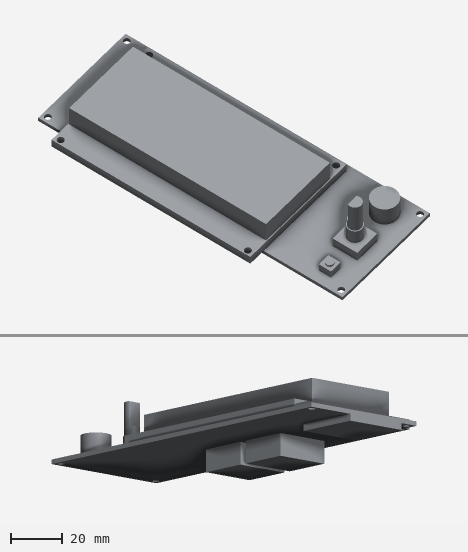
import cadquery as cq


board_length = 150.0
board_width = 55.0
board_thickness = 1.8
board_hole_diameter = 3.0
board_hole_inset = 2.7

frame_left = 13.2
frame_rear = 3.0
frame_length = 98.0
frame_width = 60.5
frame_height = 3.9
frame_hole_diameter = 3.2
frame_hole_side_inset = 2.9
frame_hole_rear_inset = 2.7
frame_hole_front_inset = 2.1
screen_length = 97.1
screen_width = 40.2
screen_height = 9.6
screen_left = frame_left + (frame_length - screen_length) / 2
screen_rear = 12.8

buzzer_x = board_length - 14.0
buzzer_depth = 10.7
buzzer_diameter = 12.2
buzzer_height = 8.9

encoder_x = board_length - 13.2
encoder_depth = 30.3
encoder_base_length = 12.2
encoder_base_width = 12.6
encoder_base_height = 4.5
collar_diameter = 7.0
collar_top = 11.3
shaft_diameter = 6.2
shaft_top = 24.8
flat_bottom = 14.9
flat_offset = 1.4

button_x = board_length - 12.8
button_depth = 46.8
button_side = 6.0
button_height = 3.6
button_cap_diameter = 3.6
button_cap_top = 4.5

card_rear = 20.4
card_length = 27.0
card_width = 26.7
card_height = 2.7
socket_count = 2
first_socket_left = 45.8
socket_pitch = 23.1
socket_rear = 25.4
socket_length = 20.0
socket_width = 23.0
socket_height = 9.0


def block(left, rear, bottom, length, width, height):
    """Box placed by its left side, rear depth and bottom."""
    box = cq.Workplane("XY").box(length, width, height, centered=False)
    return box.translate((left, -rear - width, bottom))


def centered_block(x, depth, length, width, height):
    """Box standing on the board, centred at x and depth."""
    return block(x - length / 2, depth - width / 2, 0, length, width, height)


def cylinder(x, depth, diameter, top, bottom=0):
    """Vertical cylinder between two heights."""
    plane = cq.Workplane("XY", origin=(x, -depth, bottom))
    return plane.circle(diameter / 2).extrude(top - bottom)


def make_board():
    board = block(0, 0, -board_thickness, board_length, board_width, board_thickness)
    for x in (board_hole_inset, board_length - board_hole_inset):
        for depth in (board_hole_inset, board_width - board_hole_inset):
            board = board.cut(cylinder(x, depth, board_hole_diameter, 0, -board_thickness))
    return board


def make_display():
    frame = block(frame_left, frame_rear, 0, frame_length, frame_width, frame_height)
    hole_depths = (
        frame_rear + frame_hole_rear_inset,
        frame_rear + frame_width - frame_hole_front_inset,
    )
    for x in (frame_left + frame_hole_side_inset, frame_left + frame_length - frame_hole_side_inset):
        for depth in hole_depths:
            frame = frame.cut(cylinder(x, depth, frame_hole_diameter, frame_height))
    screen = block(screen_left, screen_rear, frame_height, screen_length, screen_width, screen_height)
    return frame.union(screen)


def make_encoder():
    base = centered_block(
        encoder_x, encoder_depth, encoder_base_length, encoder_base_width, encoder_base_height
    )
    collar = cylinder(encoder_x, encoder_depth, collar_diameter, collar_top)
    shaft = cylinder(encoder_x, encoder_depth, shaft_diameter, shaft_top)
    flat_cut = block(
        encoder_x - flat_offset - shaft_diameter,
        encoder_depth - shaft_diameter / 2,
        flat_bottom,
        shaft_diameter,
        shaft_diameter,
        shaft_top - flat_bottom,
    )
    return base.union(collar).union(shaft.cut(flat_cut))


def make_button():
    body = centered_block(button_x, button_depth, button_side, button_side, button_height)
    return body.union(cylinder(button_x, button_depth, button_cap_diameter, button_cap_top))


def make_underside():
    """Card reader at the left edge and a row of cable sockets."""
    card_bottom = -board_thickness - card_height
    socket_bottom = -board_thickness - socket_height
    parts = block(0, card_rear, card_bottom, card_length, card_width, card_height)
    for index in range(socket_count):
        left = first_socket_left + index * socket_pitch
        socket = block(left, socket_rear, socket_bottom, socket_length, socket_width, socket_height)
        parts = parts.union(socket)
    return parts


buzzer = cylinder(buzzer_x, buzzer_depth, buzzer_diameter, buzzer_height)

result = make_board()
for component in (make_display(), buzzer, make_encoder(), make_button(), make_underside()):
    result = result.union(component)